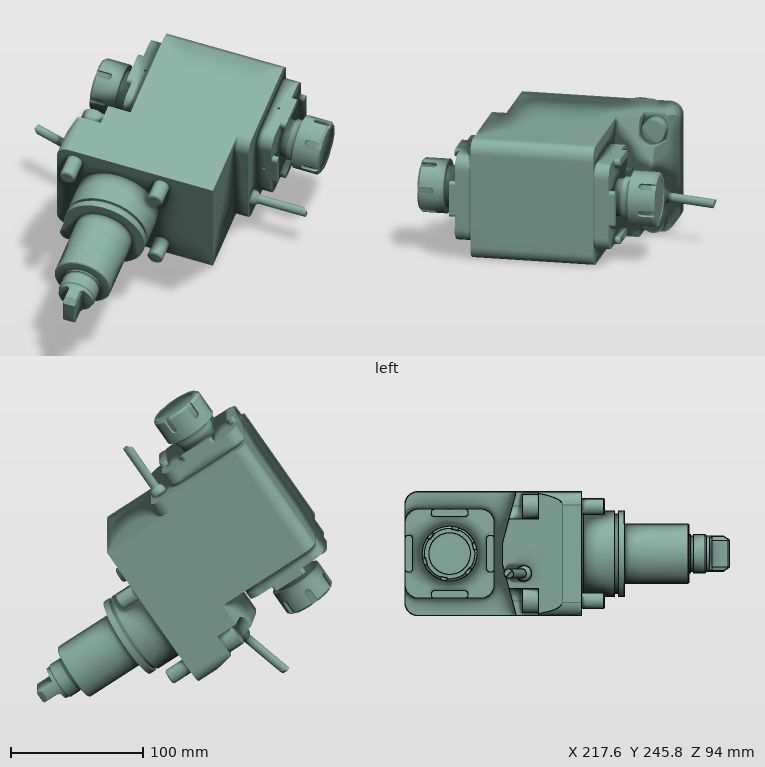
import cadquery as cq
import math


height = 94.0
half_height = height / 2
rear_y = 133.7
corner_radius = 10.0
flange_left_x = -49.2
flange_thickness = 32.5
body_left_x = -7.5
body_right_x = 76.0
ear_right_x = 87.3
ear_front_y = 47.7
slope_angle = 15.0
slope = math.tan(math.radians(slope_angle))
slope_start_y = 14.5
block_ridge_y = 60.0
block_ridge_half_width = 7.4
pocket_inner_x = -25.5
pocket_inner_z = 26.3
pocket_radius = 9.5

bolt_x = 35.0
bolt_z = 35.6
bolt_diameter = 12.0
bolt_head_diameter = 18.0
bolt_head_length = 12.0
left_bolt_reach = 17.5
right_bolt_reach = 16.0
bolt_chamfer = 1.0

overall_length = 245.8
tip_y = rear_y - overall_length
pilot_diameter = 65.0
pilot_relief_diameter = 64.6
pilot_groove_diameter = 60.2
relief_end_y = -1.5
pilot_groove_start_y = -25.0
pilot_groove_end_y = -27.8
pilot_end_y = -32.5
shank_diameter = 45.0
shank_end_y = -81.0
shank_chamfer = 0.7
nose_diameter = 29.0
nose_groove_diameter = 27.0
nose_groove_start_y = -82.3
nose_groove_end_y = -84.5
nose_step_y = -94.5
nose_chamfer = 1.0
nose_end_y = -96.8
tang_width = 10.3
tang_flat_half_height = 10.0
tang_long_chamfer = 1.2
tang_end_chamfer = 1.2
tang_bevel_length = 5.2
tang_root_width = 11.8
tang_root_length = 1.7

holder_size = 67.3
holder_y = 99.8
spacer_thickness = 1.0
spacer_inset = 0.7
plate_end = 12.0
tab_end = 16.5
tab_length = 27.8
tab_width = 5.7
tab_radius = 2.5
neck_diameter = 29.0
collar_diameter = 32.0
collar_start = 17.5
nut_start = 23.8
nut_end = 44.2
nut_diameter = 41.5
nut_chamfer = 1.7
face_recess_diameter = 31.5
face_recess_depth = 0.5
nut_slot_count = 6
nut_slot_width = 5.2
nut_slot_length = 13.0
nut_slot_depth = 2.5
left_slot_angle = 17.0
right_slot_angle = -5.0
pin_hole_diameter = 2.1
pin_hole_depth = 2.0
pin_hole_position = 6.1

cable_diameter = 7.0
gland_diameter = 12.0
gland_offset = 1.2
cable_bevel_offset = 0.5
left_cable_y = 43.5
left_cable_z = -15.0
left_cable_length = 45.5
left_bevel_roll = -45.0
right_cable_y = 55.5
right_cable_z = -25.0
right_bevel_roll = 25.0

root = 2.5


def box(x0, x1, y0, y1, z0, z1):
    return cq.Workplane("XY").box(x1 - x0, y1 - y0, z1 - z0, centered=False).translate((x0, y0, z0))


def rod_y(diameter, y_start, y_end, x=0, z=0):
    """Cylinder along Y between two Y positions."""
    low_y = min(y_start, y_end)
    return cq.Workplane("XZ", origin=(x, low_y, z)).circle(diameter / 2).extrude(-abs(y_end - y_start))


def mirrored(right_points):
    """Closed outline from its right-hand points and their mirror images across the vertical axis."""
    return right_points + [(-x, y) for x, y in reversed(right_points)]


def slanted_x(y):
    """X of the slanted left side at a given Y."""
    return flange_left_x + (y - slope_start_y) * slope


def full_height_box(x0, x1, y0, y1):
    return box(x0, x1, y0, y1, -half_height, half_height)


def make_left_block():
    """Flange side and block behind it: slanted side, roof-shaped rear and bolt head pockets."""
    block_corner_y = block_ridge_y - (half_height - block_ridge_half_width) * slope
    block = full_height_box(flange_left_x, body_left_x + root, 0, block_ridge_y)
    block = block.edges("|Y and <X").fillet(corner_radius)
    side = (
        cq.Workplane("XY")
        .polyline([
            (flange_left_x, 0),
            (flange_left_x, slope_start_y),
            (slanted_x(block_ridge_y), block_ridge_y),
            (body_left_x + root, block_ridge_y),
            (body_left_x + root, 0),
        ])
        .close()
        .extrude(half_height, both=True)
    )
    roof = (
        cq.Workplane("YZ", origin=(flange_left_x, 0, 0))
        .polyline([
            (0, -half_height),
            (block_corner_y, -half_height),
            (block_ridge_y, -block_ridge_half_width),
            (block_ridge_y, block_ridge_half_width),
            (block_corner_y, half_height),
            (0, half_height),
        ])
        .close()
        .extrude(body_left_x + root - flange_left_x)
    )
    block = block.intersect(side).intersect(roof)
    pocket = box(flange_left_x, pocket_inner_x, flange_thickness, block_ridge_y, pocket_inner_z, half_height)
    pocket = pocket.edges("|Y and >X and <Z").fillet(pocket_radius)
    return block.cut(pocket).cut(pocket.mirror("XY"))


def make_housing():
    body = full_height_box(body_left_x, body_right_x, 0, rear_y)
    body = body.edges("|X and >Y").fillet(corner_radius)
    ear = full_height_box(body_right_x - root, ear_right_x, ear_front_y, rear_y)
    ear = ear.edges("|X").fillet(corner_radius)
    return body.union(ear).union(make_left_block())


def make_bolts():
    bolts = cq.Workplane("XY")
    for z in (-bolt_z, bolt_z):
        for x, reach in ((-bolt_x, left_bolt_reach), (bolt_x, right_bolt_reach)):
            bolts = bolts.union(rod_y(bolt_diameter, -reach, root, x, z).faces("<Y").chamfer(bolt_chamfer))
        head_end_y = flange_thickness + bolt_head_length
        bolts = bolts.union(rod_y(bolt_head_diameter, flange_thickness - root, head_end_y, -bolt_x, z))
    return bolts


def make_spindle():
    pilot = (
        rod_y(pilot_groove_diameter, root, pilot_end_y)
        .union(rod_y(pilot_relief_diameter, root, relief_end_y))
        .union(rod_y(pilot_diameter, relief_end_y, pilot_groove_start_y))
        .union(rod_y(pilot_diameter, pilot_groove_end_y, pilot_end_y))
    )
    shank = rod_y(shank_diameter, root, shank_end_y).faces("<Y").chamfer(shank_chamfer)
    nose = (
        rod_y(nose_groove_diameter, shank_end_y + root, nose_end_y)
        .union(rod_y(nose_diameter, shank_end_y + root, nose_groove_start_y))
        .union(rod_y(nose_diameter, nose_groove_end_y, nose_step_y).faces("<Y").chamfer(nose_chamfer))
    )
    return pilot.union(shank).union(nose).union(make_tang())


def make_tang():
    """Flat drive tang: flats with chamfered edges, bevelled outer corners and a flared root."""
    radius = nose_groove_diameter / 2
    half_width = tang_width / 2
    root_y = nose_end_y + root
    cross_section = (
        cq.Workplane("XZ", origin=(0, tip_y, 0))
        .polyline(mirrored([
            (half_width - tang_long_chamfer, -radius),
            (half_width, -tang_flat_half_height),
            (half_width, tang_flat_half_height),
            (half_width - tang_long_chamfer, radius),
        ]))
        .close()
        .extrude(tip_y - root_y)
    )
    flats = (
        cq.Workplane("XY")
        .polyline(mirrored([
            (half_width, root_y),
            (half_width, tip_y + tang_end_chamfer),
            (half_width - tang_end_chamfer, tip_y),
        ]))
        .close()
        .extrude(radius, both=True)
    )
    bevels = (
        cq.Workplane("YZ")
        .polyline([
            (root_y, -radius),
            (tip_y + tang_bevel_length, -radius),
            (tip_y, -tang_flat_half_height),
            (tip_y, tang_flat_half_height),
            (tip_y + tang_bevel_length, radius),
            (root_y, radius),
        ])
        .close()
        .extrude(half_width, both=True)
    )
    flare = (
        cq.Workplane("XY")
        .polyline(mirrored([
            (tang_root_width / 2, root_y),
            (tang_root_width / 2, nose_end_y),
            (half_width, nose_end_y - tang_root_length),
        ]))
        .close()
        .extrude(radius, both=True)
    )
    tang = cross_section.intersect(flats).intersect(bevels).union(flare)
    return tang.intersect(rod_y(nose_groove_diameter, root_y, tip_y))


def make_nut(slot_angle):
    """Clamping nut along +X with round-ended slots that open at its outer face."""
    nut = (
        cq.Workplane("YZ", origin=(nut_start, 0, 0))
        .circle(nut_diameter / 2)
        .extrude(nut_end - nut_start)
        .faces(">X")
        .chamfer(nut_chamfer)
    )
    nut = nut.faces(">X").workplane().hole(face_recess_diameter, face_recess_depth)
    slot_floor = nut_diameter / 2 - nut_slot_depth
    slot_round_x = nut_end - nut_slot_length + nut_slot_width / 2
    slot = (
        cq.Workplane("XY", origin=(slot_round_x, 0, slot_floor))
        .circle(nut_slot_width / 2)
        .extrude(2 * nut_slot_depth)
        .union(box(
            slot_round_x, nut_end, -nut_slot_width / 2, nut_slot_width / 2,
            slot_floor, slot_floor + 2 * nut_slot_depth,
        ))
    )
    for index in range(nut_slot_count):
        turn = 90 - slot_angle - index * 360 / nut_slot_count
        nut = nut.cut(slot.rotate((0, 0, 0), (1, 0, 0), turn))
    return nut


def make_holder(slot_angle):
    """Tool holder pointing along +X from a wall at X = 0, centred on the X axis."""
    half = holder_size / 2
    spacer_size = holder_size - 2 * spacer_inset
    spacer = (
        cq.Workplane("YZ", origin=(-root, 0, 0))
        .rect(spacer_size, spacer_size)
        .extrude(root + spacer_thickness)
        .edges("|X")
        .fillet(corner_radius - spacer_inset)
    )
    plate = (
        cq.Workplane("YZ", origin=(spacer_thickness, 0, 0))
        .rect(holder_size, holder_size)
        .extrude(plate_end - spacer_thickness)
        .edges("|X")
        .fillet(corner_radius)
    )
    pin_hole = (
        cq.Workplane("XY", origin=(pin_hole_position, 0, half - pin_hole_depth))
        .circle(pin_hole_diameter / 2)
        .extrude(2 * pin_hole_depth)
    )
    plate = plate.cut(pin_hole).cut(pin_hole.rotate((0, 0, 0), (1, 0, 0), 90))

    tab = box(plate_end - root, tab_end, -tab_length / 2, tab_length / 2, half - tab_width, half)
    tab = tab.edges("|X").fillet(tab_radius)
    holder = spacer.union(plate)
    for turn in (0, 90, 180, 270):
        holder = holder.union(tab.rotate((0, 0, 0), (1, 0, 0), turn))

    neck = cq.Workplane("YZ").circle(neck_diameter / 2).extrude(nut_start)
    collar = (
        cq.Workplane("YZ", origin=(collar_start, 0, 0))
        .circle(collar_diameter / 2)
        .extrude(nut_start - collar_start)
    )
    return holder.union(neck).union(collar).union(make_nut(slot_angle))


def make_cable(length, bevel_roll):
    """Cable along +X with a domed gland on a wall at X = 0 and one side of its end cut off at 45 degrees."""
    cable_radius = cable_diameter / 2
    dome = cq.Workplane("XY").sphere(gland_diameter / 2).translate((gland_offset, 0, 0))
    wire = cq.Workplane("YZ").circle(cable_radius).extrude(length)
    bevel = (
        cq.Workplane("XY")
        .polyline([
            (length - cable_radius + cable_bevel_offset, cable_radius),
            (length, cable_radius),
            (length, cable_bevel_offset),
        ])
        .close()
        .extrude(cable_radius, both=True)
        .rotate((0, 0, 0), (1, 0, 0), bevel_roll)
    )
    return dome.union(wire.cut(bevel))


left_holder = make_holder(left_slot_angle).mirror("YZ").translate((body_left_x, holder_y, 0))
right_holder = make_holder(right_slot_angle).translate((ear_right_x, holder_y, 0))

left_cable = (
    make_cable(left_cable_length, left_bevel_roll)
    .rotate((0, 0, 0), (0, 0, 1), 180 - slope_angle)
    .translate((slanted_x(left_cable_y), left_cable_y, left_cable_z))
)
right_cable = make_cable(nut_end, right_bevel_roll).translate((ear_right_x, right_cable_y, right_cable_z))

result = make_housing()
for attachment in (make_bolts(), make_spindle(), left_holder, right_holder, left_cable, right_cable):
    result = result.union(attachment)